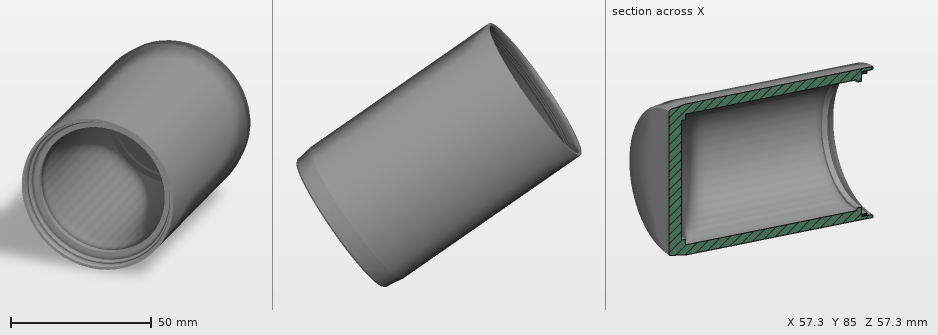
import cadquery as cq

length = 85.0
outer_radius = 28.65
taper_length = 7.0
taper_end_radius = 27.7
edge_chamfer = 0.6

lip_radius = 23.7
lip_thickness = 2.1
cavity_radius = 24.65
recess_radius = 22.5
recess_depth = 1.7
floor_thickness = taper_length

mouth_radius = 27.6
seat_radius = 27.3
lead_in_depth = 1.1
seat_depth = 4.85

ring_count = 3
ring_thickness = 0.8
ring_inner_radius = 26.35
ring_chamfer = 0.25

front_y = -length / 2
rear_y = length / 2
lip_y = front_y + seat_depth


def revolve_about_y(points):
    """Revolve a closed (radius, y) outline about the Y axis, starting on the -X side."""
    outline = [(-radius, y) for radius, y in points]
    return cq.Workplane("XY").polyline(outline).close().revolve(360, (0, 0, 0), (0, 1, 0))


def make_housing():
    """Cup with a tapered closed end and a stepped mouth and a lip around the cavity."""
    floor_y = rear_y - floor_thickness
    outside = [
        (outer_radius, front_y),
        (outer_radius, rear_y - taper_length),
        (taper_end_radius, rear_y - edge_chamfer),
        (taper_end_radius - edge_chamfer, rear_y),
        (0, rear_y),
    ]
    inside = [
        (0, floor_y + recess_depth),
        (recess_radius, floor_y + recess_depth),
        (recess_radius, floor_y),
        (cavity_radius, floor_y),
        (cavity_radius, lip_y + lip_thickness),
        (lip_radius, lip_y + lip_thickness),
        (lip_radius, lip_y),
        (seat_radius, lip_y),
        (seat_radius, front_y + lead_in_depth),
        (mouth_radius, front_y),
    ]
    return revolve_about_y(outside + inside)


def make_ring(back_y):
    """Flat ring with all four edges chamfered; back_y is its +Y face."""
    ring_front_y = back_y - ring_thickness
    return revolve_about_y([
        (seat_radius - ring_chamfer, ring_front_y),
        (seat_radius, ring_front_y + ring_chamfer),
        (seat_radius, back_y - ring_chamfer),
        (seat_radius - ring_chamfer, back_y),
        (ring_inner_radius + ring_chamfer, back_y),
        (ring_inner_radius, back_y - ring_chamfer),
        (ring_inner_radius, ring_front_y + ring_chamfer),
        (ring_inner_radius + ring_chamfer, ring_front_y),
    ])


housing = make_housing()
rings = [make_ring(lip_y - index * ring_thickness) for index in range(ring_count)]

result = cq.Compound.makeCompound([housing.val(), *[ring.val() for ring in rings]])